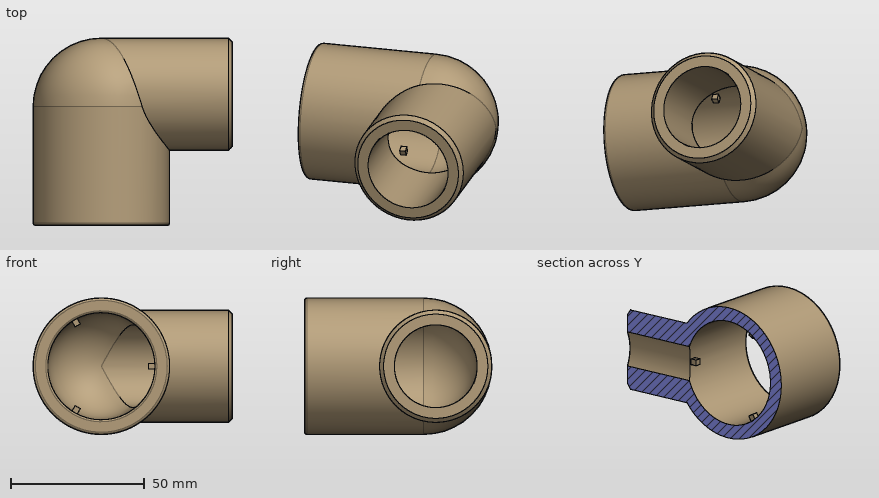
import cadquery as cq


socket_outer_diameter = 51.0
bore_diameter = 40.0
overall_depth = 69.95
mouth_outer_rounding = 0.9
mouth_inner_rounding = 0.75

overall_width = 74.5
spigot_outer_diameter = 41.95
spigot_chamfer = 1.5

lug_count = 3
lug_width = 2.2
lug_height = 2.4
lug_length = 2.2
lug_setback = 0.75

socket_outer_radius = socket_outer_diameter / 2
bore_radius = bore_diameter / 2
wall = socket_outer_radius - bore_radius
socket_length = overall_depth - socket_outer_radius

spigot_outer_radius = spigot_outer_diameter / 2
spigot_bore_radius = spigot_outer_radius - wall
spigot_length = overall_width - socket_outer_radius
spigot_offset = socket_outer_radius - spigot_outer_radius


def domed_cylinder(radius):
    """Cylinder along the socket axis, flat at the socket mouth and closed by a hemisphere at +Y."""
    profile = (
        cq.Workplane("XY")
        .moveTo(0, -socket_length)
        .lineTo(radius, -socket_length)
        .lineTo(radius, 0)
        .radiusArc((0, radius), -radius)
        .close()
    )
    return profile.revolve(360, (0, 0, 0), (0, 1, 0))


def along_spigot(radius):
    """Cylinder from the plane of the sphere centre to the spigot end, at +X."""
    return cq.Workplane("YZ").center(spigot_offset, 0).circle(radius).extrude(spigot_length)


def make_outer_body():
    socket = domed_cylinder(socket_outer_radius).faces("<Y").edges().fillet(mouth_outer_rounding)
    spigot = along_spigot(spigot_outer_radius).faces(">X").edges().chamfer(spigot_chamfer)
    return socket.union(spigot)


def make_passage():
    return domed_cylinder(bore_radius).union(along_spigot(spigot_bore_radius))


def round_mouth(body):
    mouth_bore_edge = body.faces("<Y").edges(cq.selectors.RadiusNthSelector(0))
    return mouth_bore_edge.fillet(mouth_inner_rounding)


def add_stop_lugs(body):
    lug_back = spigot_offset - spigot_bore_radius - lug_setback
    lug_root = bore_radius + wall / 2
    lug_tip = bore_radius - lug_height
    lug = (
        cq.Workplane("XY")
        .box(lug_root - lug_tip, lug_length, lug_width, centered=(False, False, True))
        .translate((lug_tip, lug_back - lug_length, 0))
    )
    for index in range(lug_count):
        angle = index * 360 / lug_count
        body = body.union(lug.rotate((0, 0, 0), (0, 1, 0), angle))
    return body


elbow = make_outer_body().cut(make_passage())
result = add_stop_lugs(round_mouth(elbow))